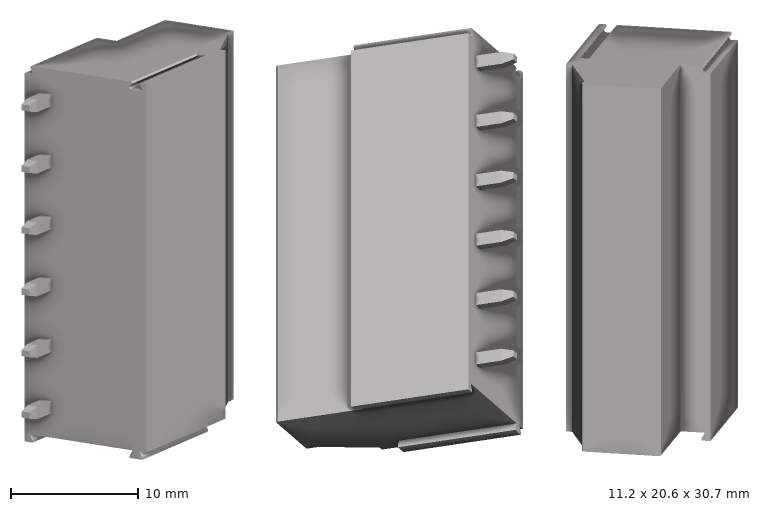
import cadquery as cq

WIDTH = 11.2
BASE_DEPTH = 10.0
TOTAL_DEPTH = 17.4
STEP_WIDTH = 2.4
SHOULDER_DEPTH = 12.0
SHOULDER_WIDTH = 0.5
FAR_FACE_RIGHT = 8.75
SLOPE_END_DEPTH = 16.45
FAR_CHAMFER_DEPTH = 0.2
FAR_CHAMFER_WIDTH = 0.1

PIN_COUNT = 6
PITCH = 5.0
HEIGHT = PIN_COUNT * PITCH
PIN_X = 2.0
PIN_WIDTH = 0.9
PIN_THICKNESS = 1.01
PIN_LENGTH = 3.15
PIN_TIP_LENGTH = 1.0
PIN_TIP_THICKNESS = 0.5
PIN_TIP_WIDTH = 0.72

DOVETAIL_HEIGHT = 0.65
EDGE_ROOT = 0.45
RAIL_X = 10.22
RAIL_ROOT = 0.6
TONGUE_SPREAD = 0.27
TONGUE_RIM = 0.2
GROOVE_MOUTH_SPREAD = 0.15
GROOVE_NECK_SPREAD = 0.05
GROOVE_NECK_DEPTH = 0.15
GROOVE_WIDE_SPREAD = 0.27
GROOVE_WIDE_DEPTH = 0.45
GROOVE_FLOOR_SPREAD = 0.19

TONGUE_FLANK = [
    (0, 0),
    (TONGUE_SPREAD, DOVETAIL_HEIGHT - TONGUE_RIM),
    (TONGUE_SPREAD, DOVETAIL_HEIGHT),
]
GROOVE_FLANK = [
    (GROOVE_MOUTH_SPREAD, 0),
    (GROOVE_NECK_SPREAD, GROOVE_NECK_DEPTH),
    (GROOVE_WIDE_SPREAD, GROOVE_WIDE_DEPTH),
    (GROOVE_FLOOR_SPREAD, DOVETAIL_HEIGHT),
]


def make_housing():
    """Block with a set-back upper portion, a slope and a ledge on +X."""
    bevel_start = TOTAL_DEPTH - FAR_CHAMFER_DEPTH
    outline = [
        (0, 0),
        (WIDTH, 0),
        (WIDTH, SHOULDER_DEPTH),
        (WIDTH - SHOULDER_WIDTH, SHOULDER_DEPTH),
        (FAR_FACE_RIGHT, SLOPE_END_DEPTH),
        (FAR_FACE_RIGHT, bevel_start),
        (FAR_FACE_RIGHT - FAR_CHAMFER_WIDTH, TOTAL_DEPTH),
        (STEP_WIDTH + FAR_CHAMFER_WIDTH, TOTAL_DEPTH),
        (STEP_WIDTH, bevel_start),
        (STEP_WIDTH, BASE_DEPTH),
        (0, BASE_DEPTH),
    ]
    return cq.Workplane("XY").polyline(outline).close().extrude(HEIGHT)


def extrude_along_base(outline):
    """Sweep an XZ outline over the full depth of the base."""
    return cq.Workplane("XZ").polyline(outline).close().extrude(-BASE_DEPTH)


def make_dovetails(flank, face_z):
    """Half dovetail on the -X edge and full dovetail near +X, below face_z."""
    right_of_edge = [(EDGE_ROOT + spread, face_z - depth) for spread, depth in flank]
    edge = [(0, face_z)] + right_of_edge + [(0, face_z - DOVETAIL_HEIGHT)]

    half_root = RAIL_ROOT / 2
    left_of_rail = [(RAIL_X - half_root - spread, face_z - depth) for spread, depth in flank]
    right_of_rail = [(RAIL_X + half_root + spread, face_z - depth) for spread, depth in flank]
    rail = left_of_rail + right_of_rail[::-1]
    return extrude_along_base(edge).union(extrude_along_base(rail))


def make_pin(z):
    """Rectangular pin pointing to -Y with a tapered tip."""
    shank_length = PIN_LENGTH - PIN_TIP_LENGTH
    shank = (
        cq.Workplane("XZ", origin=(PIN_X, 0, z))
        .rect(PIN_WIDTH, PIN_THICKNESS)
        .extrude(shank_length)
    )
    tip = (
        cq.Workplane("XZ", origin=(PIN_X, -shank_length, z))
        .rect(PIN_WIDTH, PIN_THICKNESS)
        .workplane(offset=PIN_TIP_LENGTH)
        .rect(PIN_TIP_WIDTH, PIN_TIP_THICKNESS)
        .loft(ruled=True)
    )
    return shank.union(tip)


result = make_housing().cut(make_dovetails(GROOVE_FLANK, HEIGHT))
result = result.union(make_dovetails(TONGUE_FLANK, 0))
for index in range(PIN_COUNT):
    result = result.union(make_pin((index + 0.5) * PITCH))